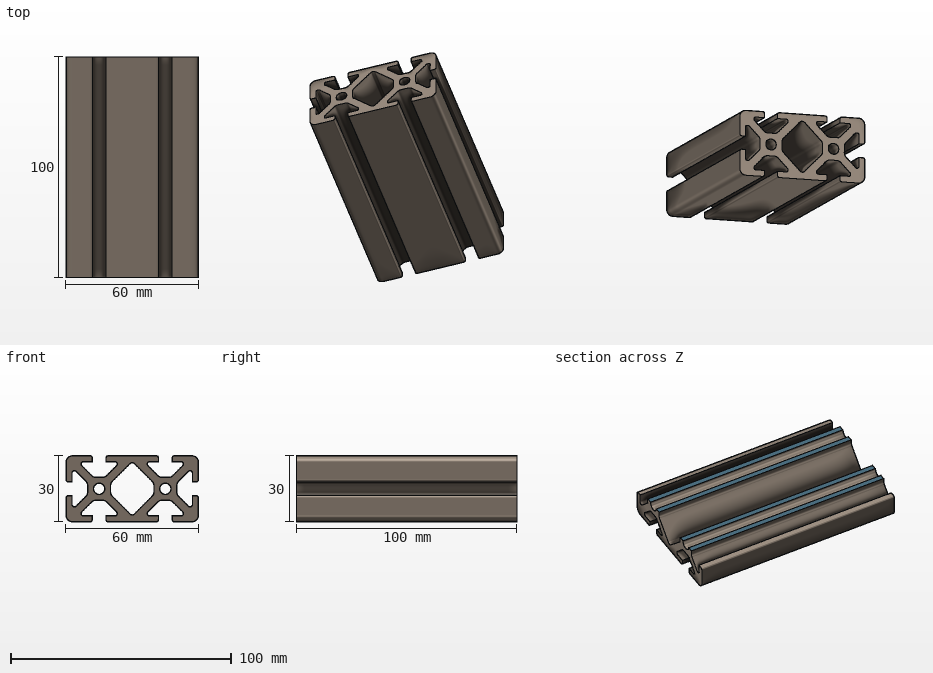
import cadquery as cq
import math

cell = 30.0
cell_count = 2
length = 100.0
width = cell * cell_count
height = cell
corner_radius = 3.0

slot_opening = 6.2
slot_inner_width = 16.2
lip_thickness = 2.8
lip_radius = 1.0
slot_end_radius = 0.8

core_width = 10.5
web_thickness = 3.7
core_radius = 2.5
bore_diameter = 5.0

cavity_tip_radius = 1.5

cell_half = cell / 2
core_half = core_width / 2
web_offset = web_thickness / math.sqrt(2)
core_corner = core_half - web_offset
cell_centers = [(i - (cell_count - 1) / 2) * cell for i in range(cell_count)]


def extrude_outline(points):
    """Extrude a closed XZ outline over the full length, centred on Y."""
    return cq.Workplane("XZ").polyline(points).close().extrude(length / 2, both=True)


def edges_at(points):
    """Select the lengthwise edges that pass through the given XZ points."""
    selector = None
    for x, z in points:
        near = cq.selectors.NearestToPointSelector((x, 0, z))
        selector = near if selector is None else selector + near
    return selector


def mirror_x(points):
    """Complete a right-hand outline with its mirror image about X = 0."""
    return points + [(-x, z) for x, z in reversed(points)]


def make_slot():
    """T-slot cutter for the +Z face of a cell centred on the origin."""
    opening_half = slot_opening / 2
    inner_half = slot_inner_width / 2
    lip_bottom = cell_half - lip_thickness
    floor_corner = (core_corner, core_half)
    web_end = (inner_half, inner_half + web_offset)
    undercut = (inner_half, lip_bottom)
    opening = [(opening_half, lip_bottom), (opening_half, cell_half)]
    slot = extrude_outline(mirror_x([floor_corner, web_end, undercut] + opening))
    slot = slot.edges(edges_at(mirror_x([floor_corner]))).fillet(core_radius)
    return slot.edges(edges_at(mirror_x([web_end, undercut]))).fillet(slot_end_radius)


def make_cavity():
    """Diamond cavity between the two cores, with flattened side corners."""
    side_x = cell_half - core_half
    tip_z = cell_half - web_offset
    side_corners = mirror_x([(side_x, -core_corner), (side_x, core_corner)])
    tips = [(0, tip_z), (0, -tip_z)]
    outline = [*side_corners[:2], tips[0], *side_corners[2:], tips[1]]
    cavity = extrude_outline(outline)
    cavity = cavity.edges(edges_at(side_corners)).fillet(core_radius)
    return cavity.edges(edges_at(tips)).fillet(cavity_tip_radius)


def slot_placements():
    """Cell centre and turn about Y for every slot: top, bottom and both ends."""
    placements = [(x, turn) for x in cell_centers for turn in (0, 180)]
    return placements + [(cell_centers[-1], 90), (cell_centers[0], -90)]


def lip_edges():
    """XZ points of the outer slot edges on the outside of the profile."""
    points = []
    for x, turn in slot_placements():
        angle = math.radians(turn)
        for across in (-slot_opening / 2, slot_opening / 2):
            edge_x = x + across * math.cos(angle) + cell_half * math.sin(angle)
            edge_z = cell_half * math.cos(angle) - across * math.sin(angle)
            points.append((edge_x, edge_z))
    return points


result = cq.Workplane("XY").box(width, length, height).edges("|Y").fillet(corner_radius)

slot = make_slot()
for center_x, turn in slot_placements():
    result = result.cut(slot.rotate((0, 0, 0), (0, 1, 0), turn).translate((center_x, 0, 0)))
result = result.edges(edges_at(lip_edges())).fillet(lip_radius)

result = result.cut(make_cavity())
bores = cq.Workplane("XZ").pushPoints([(x, 0) for x in cell_centers])
result = result.cut(bores.circle(bore_diameter / 2).extrude(length / 2, both=True))